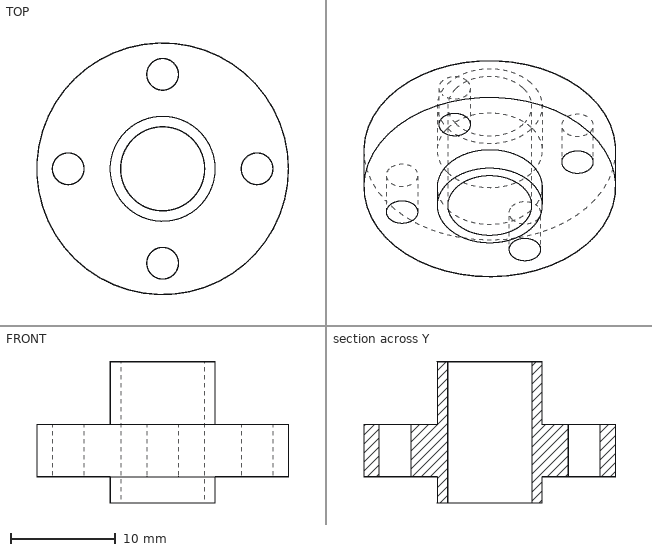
import cadquery as cq

flange_diameter = 24.0
flange_thickness = 5.0

hub_diameter = 10.0
bore_diameter = 8.0
hub_above_flange = 6.0
hub_below_flange = 2.5
hub_length = hub_below_flange + flange_thickness + hub_above_flange

bolt_hole_count = 4
bolt_hole_diameter = 3.0
bolt_circle_diameter = 18.0


def make_cylinder(diameter, bottom, height):
    """Vertical cylinder on the Z axis."""
    return cq.Workplane("XY").workplane(offset=bottom).circle(diameter / 2).extrude(height)


def make_bolt_holes():
    """Cutters through the flange, evenly spaced from the +X axis."""
    return (
        cq.Workplane("XY")
        .polarArray(bolt_circle_diameter / 2, 0, 360, bolt_hole_count)
        .circle(bolt_hole_diameter / 2)
        .extrude(flange_thickness)
    )


flange = make_cylinder(flange_diameter, 0, flange_thickness)
hub = make_cylinder(hub_diameter, -hub_below_flange, hub_length)
bore = make_cylinder(bore_diameter, -hub_below_flange, hub_length)

result = flange.union(hub).cut(bore).cut(make_bolt_holes())